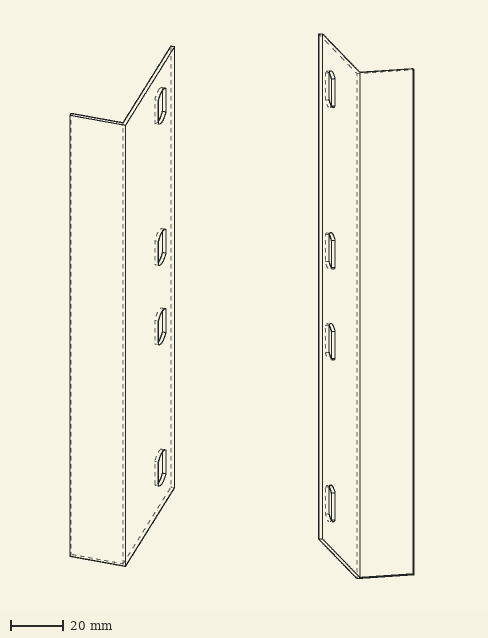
import cadquery as cq

length = 200.0
narrow_leg = 22.5
wide_leg = 58.8
thickness = 1.5

slot_width = 9.0
slot_length = 14.0
slot_edge_distance = 14.8
inner_slot_offset = 18.0
outer_slot_offset = 82.0

slot_y = wide_leg - slot_edge_distance
middle_z = length / 2


def make_angle():
    """L-shaped section with its corner at the +X, -Y side."""
    return (
        cq.Workplane("XY")
        .moveTo(0, 0)
        .lineTo(narrow_leg, 0)
        .lineTo(narrow_leg, wide_leg)
        .lineTo(narrow_leg - thickness, wide_leg)
        .lineTo(narrow_leg - thickness, thickness)
        .lineTo(0, thickness)
        .close()
        .extrude(length)
    )


def make_slot_cutter(z):
    """Cylinder along X, trimmed to the slot width by a box."""
    wide_leg_plane = cq.Workplane("YZ").center(slot_y, z)
    cylinder = wide_leg_plane.circle(slot_length / 2).extrude(narrow_leg)
    flat_sides = wide_leg_plane.rect(slot_width, slot_length).extrude(narrow_leg)
    return cylinder.intersect(flat_sides)


result = make_angle()
for offset in (-outer_slot_offset, -inner_slot_offset, inner_slot_offset, outer_slot_offset):
    result = result.cut(make_slot_cutter(middle_z + offset))